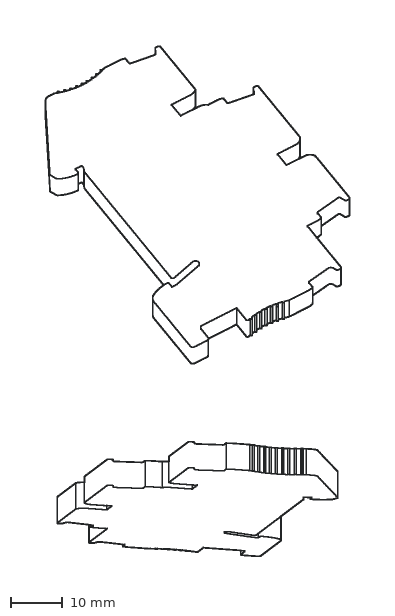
import cadquery as cq
import math

half_length = 33.8
height = 45.8
thickness = 5.2

lower_top = 35.15
shoulder_drop = 7.3
shoulder_inset = 0.2
shoulder_taper = 0.8
upper_left = -15.3
upper_right = 20.3

lip_inset = 1.15
lip_thickness = 1.1
lip_round = 0.4
neck_top_inset = 2.65
neck_top_drop = 1.6
neck_base_inset = 1.75
upper_neck_round = 0.3
lower_neck_round = 0.8
neck_base_round = 0.3

slot_width = 3.25
slot_depth = 5.95
mouth_depth = 1.7
lower_slot_left = -19.1
lower_slot_right = lower_slot_left + slot_width
lower_flare = upper_left - lower_slot_right
upper_slot_left = 2.2
upper_flare = 1.15

grip_middle = 17.4
grip_radius = 14.95
left_grip_depth = 1.15
right_grip_depth = 0.8
ridge_count = 9
ridge_span = 9.9
ridge_pitch = ridge_span / (ridge_count - 1)
ridge_radius = 0.2
ridge_offset = 0.1

rail_middle = 1.4
rail_y = 6.0
hook_reach = 16.0
hook_y = 4.95
hook_tip_y = 4.4
hook_round = 0.3
groove_reach = 17.3
toe_reach = 17.2
toe_y = 0.6
left_toe_round = 0.55
hook_belly_reach = 16.3
hook_belly_y = 2.65

slope_angle = math.radians(30)
slope_foot_x = -17.3
slope_foot_round = 0.4
slope_corner_radius = 1.5
groove_top = 6.4
groove_flat = 0.7
groove_length = 1.55
groove_round = 0.15

right_foot_x = 33.5
right_foot_flat_x = 19.95
toe_bend = (19.1, 0.2)
notch_x = 29.9
notch_bottom = 4.05
notch_top = 12.65
foot_round = 0.6
notch_round = 0.3

flex_radius = 0.75
flex_center = (16.4, 11.8)
flex_tilt = math.radians(15)
flex_round = 0.4


def clip_points(end_x, top_y, inward):
    """Corners of one tier end, from the lip at the tier top down to the end of the taper."""
    insets_and_drops = [
        (lip_inset, 0),
        (lip_inset, lip_thickness),
        (neck_top_inset, neck_top_drop),
        (neck_base_inset, shoulder_drop),
        (shoulder_inset, shoulder_drop),
        (0, shoulder_drop + shoulder_taper),
    ]
    return [(end_x + inward * inset, top_y - drop) for inset, drop in insets_and_drops]


def line_through(outline, points):
    """Draw straight lines through the points in turn."""
    for point in points:
        outline = outline.lineTo(*point)
    return outline


def clip_corners(end_x, top_y, inward, neck_round):
    """Corners of one tier end that are rounded, as (x, y, radius)."""
    lip_top, lip_bottom, neck_top, neck_base = clip_points(end_x, top_y, inward)[:4]
    return [
        (*lip_top, lip_round),
        (*lip_bottom, lip_round),
        (*neck_top, neck_round),
        (*neck_base, neck_base_round),
    ]


def slot(outline, left_x, top_y, flare):
    """Draw a terminal slot from left to right; its mouth arcs are tangent to its walls."""
    right_x = left_x + slot_width
    mouth_y = top_y - mouth_depth
    floor_y = top_y - slot_depth
    radius = (flare**2 + mouth_depth**2) / (2 * flare)
    return (
        outline.lineTo(left_x - flare, top_y)
        .radiusArc((left_x, mouth_y), radius)
        .lineTo(left_x, floor_y)
        .lineTo(right_x, floor_y)
        .lineTo(right_x, mouth_y)
        .radiusArc((right_x + flare, top_y), radius)
    )


def grip_reach(y, depth):
    """Distance from the middle of the plate to a concave grip surface at height y."""
    sag = grip_radius - math.sqrt(grip_radius**2 - (y - grip_middle) ** 2)
    return half_length - depth + sag


def grip_half_chord(depth):
    """Half the height of a grip that is cut to the given depth."""
    return math.sqrt(grip_radius**2 - (grip_radius - depth) ** 2)


def flex_slot_points():
    """Tangent points and crown of the round slot end, and where the left wall meets the seat."""
    center_x, center_y = flex_center
    cosine = flex_radius * math.cos(flex_tilt)
    sine = flex_radius * math.sin(flex_tilt)
    right = (center_x + cosine, center_y + sine)
    crown = (center_x - sine, center_y + cosine)
    left = (center_x - cosine, center_y - sine)
    seat_end = (left[0] + (left[1] - rail_y) * math.tan(flex_tilt), rail_y)
    return right, crown, left, seat_end


def make_plate():
    """Plate with its outline and rounded corners, without the grip ridges."""
    left_half_chord = grip_half_chord(left_grip_depth)
    right_half_chord = grip_half_chord(right_grip_depth)
    left_grip_bed = (left_grip_depth - half_length, grip_middle)
    right_grip_bed = (half_length - right_grip_depth, grip_middle)
    notch_corner_x = grip_reach(notch_top, right_grip_depth)
    slope_corner_y = (slope_foot_x + half_length) * math.tan(slope_angle)
    flex_right, flex_end, flex_left, seat_end = flex_slot_points()

    outline = (
        cq.Workplane("XY")
        .moveTo(-half_length, slope_corner_y)
        .lineTo(-half_length, grip_middle - left_half_chord)
        .threePointArc(left_grip_bed, (-half_length, grip_middle + left_half_chord))
    )
    outline = line_through(outline, reversed(clip_points(-half_length, lower_top, 1)))
    outline = slot(outline, lower_slot_left, lower_top, lower_flare)
    outline = line_through(outline, reversed(clip_points(upper_left, height, 1)))
    outline = slot(outline, upper_slot_left, height, upper_flare)
    outline = line_through(outline, clip_points(upper_right, height, -1)).lineTo(upper_right, lower_top)
    outline = line_through(outline, clip_points(half_length, lower_top, -1))

    outline = (
        outline.lineTo(half_length, grip_middle + right_half_chord)
        .threePointArc(right_grip_bed, (notch_corner_x, notch_top))
        .lineTo(notch_x, notch_top)
        .lineTo(notch_x, notch_bottom)
        .lineTo(right_foot_x, notch_bottom)
        .lineTo(right_foot_x, 0)
        .lineTo(right_foot_flat_x, 0)
        .threePointArc(toe_bend, (rail_middle + toe_reach, toe_y))
        .threePointArc(
            (rail_middle + hook_belly_reach, hook_belly_y),
            (rail_middle + hook_reach, hook_tip_y),
        )
        .lineTo(rail_middle + hook_reach, hook_y)
        .lineTo(rail_middle + groove_reach, hook_y)
        .lineTo(rail_middle + groove_reach, rail_y)
        .lineTo(*flex_right)
        .threePointArc(flex_end, flex_left)
        .lineTo(*seat_end)
        .lineTo(rail_middle - groove_reach + groove_length, rail_y)
        .lineTo(rail_middle - groove_reach + groove_flat, groove_top)
        .lineTo(rail_middle - groove_reach, groove_top)
        .lineTo(rail_middle - groove_reach, hook_y)
        .lineTo(rail_middle - hook_reach, hook_y)
        .lineTo(rail_middle - hook_reach, hook_tip_y)
        .threePointArc(
            (rail_middle - hook_belly_reach, hook_belly_y),
            (rail_middle - toe_reach, toe_y),
        )
        .lineTo(slope_foot_x, 0)
        .close()
    )
    plate = outline.extrude(thickness)

    rounded_corners = [
        (-half_length, slope_corner_y, slope_corner_radius),
        (slope_foot_x, 0, slope_foot_round),
        (right_foot_x, 0, foot_round),
        (right_foot_x, notch_bottom, foot_round),
        (notch_x, notch_bottom, foot_round),
        (notch_corner_x, notch_top, notch_round),
        (*seat_end, flex_round),
        (rail_middle + hook_reach, hook_y, hook_round),
        (rail_middle - hook_reach, hook_y, hook_round),
        (rail_middle - groove_reach, groove_top, groove_round),
        (rail_middle - toe_reach, toe_y, left_toe_round),
        *clip_corners(-half_length, lower_top, 1, lower_neck_round),
        *clip_corners(upper_left, height, 1, upper_neck_round),
        *clip_corners(upper_right, height, -1, upper_neck_round),
        *clip_corners(half_length, lower_top, -1, lower_neck_round),
    ]
    for x, y, radius in rounded_corners:
        corner_edge = cq.selectors.NearestToPointSelector((x, y, thickness / 2))
        plate = plate.edges("|Z").edges(corner_edge).fillet(radius)
    return plate


def make_ridges():
    """Round ridges on both grips; the shorter right grip lacks the lowest and highest ridge."""
    centers = []
    for index in range(ridge_count):
        y = grip_middle + (index - (ridge_count - 1) / 2) * ridge_pitch
        centers.append((-grip_reach(y, left_grip_depth) - ridge_offset, y))
        if 0 < index < ridge_count - 1:
            centers.append((grip_reach(y, right_grip_depth) + ridge_offset, y))
    return cq.Workplane("XY").pushPoints(centers).circle(ridge_radius).extrude(thickness)


result = make_plate().union(make_ridges())